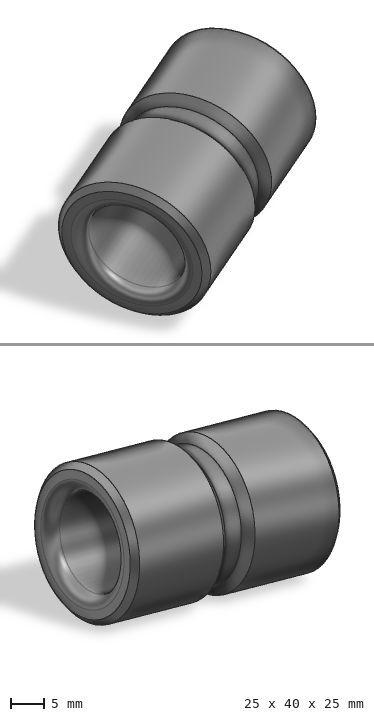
import cadquery as cq

length = 40.0
outer_diameter = 25.0
bore_diameter = 16.0
end_chamfer = 1.0
bore_mouth_radius = 2.0

groove_width = 6.0
groove_diameter = 22.1
groove_depth = (outer_diameter - groove_diameter) / 2
groove_floor_width = groove_width - 2 * groove_depth


def make_sleeve():
    """Plain tube along Y, centred on the origin, with finished ends."""
    outside = (
        cq.Workplane("XZ")
        .circle(outer_diameter / 2)
        .extrude(length / 2, both=True)
        .faces("<Y or >Y")
        .chamfer(end_chamfer)
    )
    bore = cq.Workplane("XZ").circle(bore_diameter / 2).extrude(length / 2, both=True)
    bore_rims = cq.selectors.RadiusNthSelector(0)
    return outside.cut(bore).faces("<Y or >Y").edges(bore_rims).fillet(bore_mouth_radius)


def make_groove():
    """Ring with a trapezoidal section, revolved about the Y axis."""
    return (
        cq.Workplane("XY")
        .moveTo(outer_diameter / 2, -groove_width / 2)
        .lineTo(groove_diameter / 2, -groove_floor_width / 2)
        .lineTo(groove_diameter / 2, groove_floor_width / 2)
        .lineTo(outer_diameter / 2, groove_width / 2)
        .close()
        .revolve(360, (0, 0, 0), (0, 1, 0))
    )


result = make_sleeve().cut(make_groove())